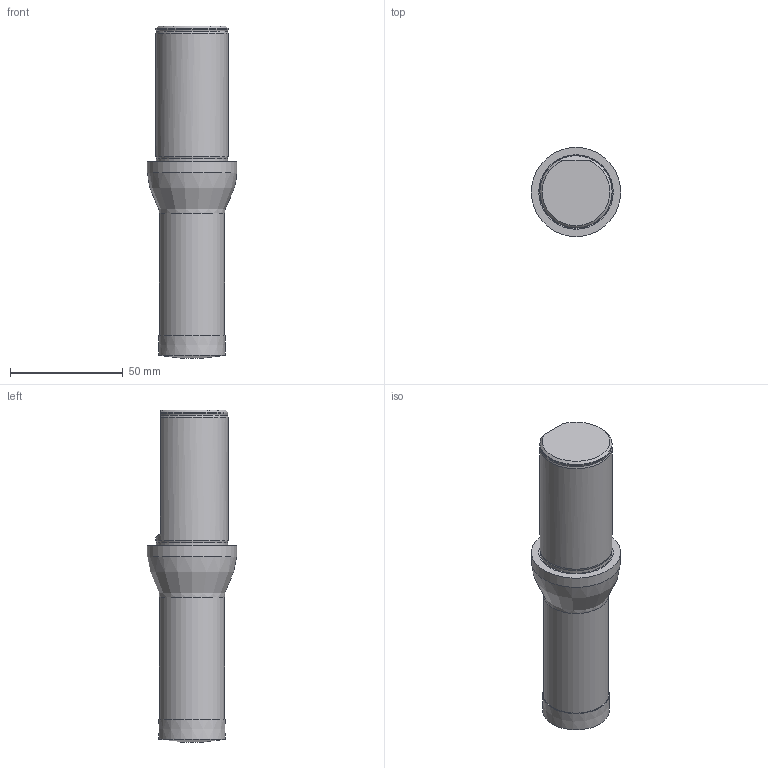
import cadquery as cq


shank_radius = 31.99 / 2
shank_length = 60.0
top_chamfer = 1.0
relief_radius = 31.5 / 2
groove_top_drop = 1.5
groove_half_width = 0.9
neck_height = 1.3
neck_taper_height = 0.9

flat_offset = 14.0
flat_end_height = 5.5

flange_radius = 39.5 / 2
flange_rim_height = 5.0
flange_height = 23.0
blend_waist = (15.2, -19.6)

undercut_radius = 16.5
undercut_depth = 0.2

stem_radius = 28.8 / 2
tip_depth = 87.0
head_length = 10.0
head_top_radius = 14.7
head_bottom_radius = 14.75
tip_cone_height = 1.2
tip_flat_radius = 5.0
head_top = head_length - tip_depth


def radial_profile(start_height):
    """Start a half profile on the Z axis; the sketch X is the radius and Y is the height."""
    return cq.Workplane("XZ").moveTo(0, start_height)


def spin(profile):
    """Close a half profile and revolve it about the Z axis."""
    return profile.close().revolve(360, (0, 0, 0), (0, 1, 0))


def make_shank():
    groove_top = shank_length - groove_top_drop
    groove_floor = groove_top - groove_half_width
    groove_bottom = groove_floor - groove_half_width
    shank = spin(
        radial_profile(-undercut_depth)
        .lineTo(relief_radius, -undercut_depth)
        .lineTo(relief_radius, neck_height)
        .lineTo(shank_radius, neck_height + neck_taper_height)
        .lineTo(shank_radius, groove_bottom)
        .lineTo(relief_radius, groove_floor)
        .lineTo(shank_radius, groove_top)
        .lineTo(shank_radius, shank_length - top_chamfer)
        .lineTo(shank_radius - top_chamfer, shank_length)
        .lineTo(0, shank_length)
    )
    flat_depth = flange_radius - flat_offset
    flat_cut = (
        cq.Workplane("YZ")
        .moveTo(flat_offset, shank_length)
        .lineTo(flat_offset, flat_end_height)
        .lineTo(flange_radius, flat_end_height - flat_depth)
        .lineTo(flange_radius, shank_length)
        .close()
        .extrude(shank_radius, both=True)
    )
    return shank.cut(flat_cut)


def make_flange_and_stem():
    straight_down = (0, -1)
    return spin(
        radial_profile(-undercut_depth)
        .lineTo(relief_radius, -undercut_depth)
        .lineTo(undercut_radius, 0)
        .lineTo(flange_radius, 0)
        .lineTo(flange_radius, -flange_rim_height)
        .spline(
            [blend_waist, (stem_radius, -flange_height)],
            tangents=[straight_down, straight_down],
            includeCurrent=True,
        )
        .lineTo(stem_radius, head_top)
        .lineTo(0, head_top)
    )


def make_holder():
    return make_flange_and_stem().union(make_shank())


def make_cutting_head():
    """Slightly widening head with a shallow conical tip, butted against the stem end."""
    return spin(
        radial_profile(head_top)
        .lineTo(head_top_radius, head_top)
        .lineTo(head_bottom_radius, tip_cone_height - tip_depth)
        .lineTo(tip_flat_radius, -tip_depth)
        .lineTo(0, -tip_depth)
    )


holder = make_holder()
cutting_head = make_cutting_head()

result = cq.Compound.makeCompound([holder.val(), cutting_head.val()])